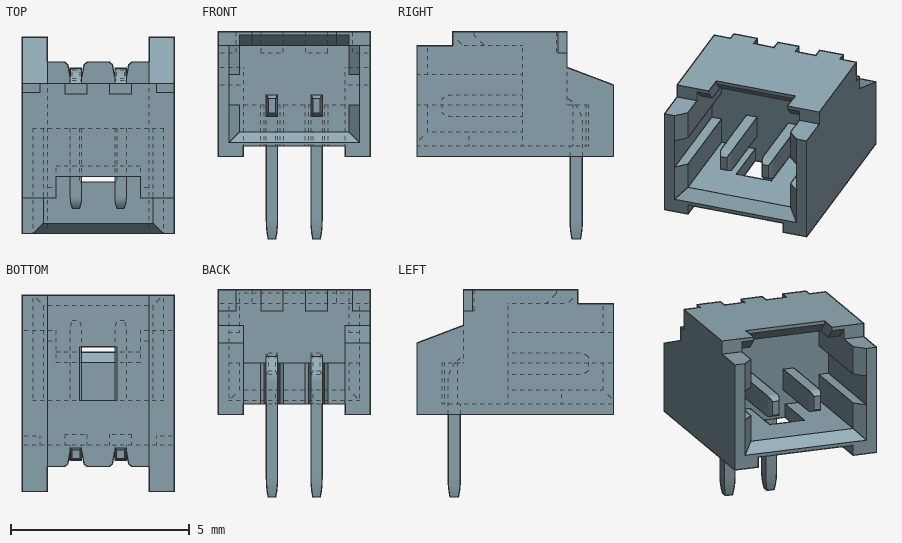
import cadquery as cq
import math


WIDTH = 4.25
DEPTH = 5.5
HEIGHT = 3.5
TOTAL_HEIGHT = 5.8
REAR_WALL_Y = 4.2

CHANNEL_HALF_WIDTH = 1.42
CHANNEL_HEIGHT = 0.295
WING_REAR_HEIGHT = 2.005
WING_FRONT_HEIGHT = 2.5

CAVITY_HALF_WIDTH = 1.53
CAVITY_FLOOR = 0.69
CAVITY_CEILING = 3.11
CAVITY_DEPTH = 2.945
LEAD_IN = 0.29
FRONT_STEP_HEIGHT = CAVITY_CEILING
FRONT_STEP_DEPTH = 1.0
GROOVE_BOTTOM = 1.445
GROOVE_TOP = 2.295
ROOF_NOTCH_HALF_WIDTH = 1.18
ROOF_NOTCH_DEPTH = 1.595
FLOOR_SLOT_HALF_WIDTH = 0.52
FLOOR_SLOT_START = 1.45

NOTCH_FLOOR = 2.895
PIN_NOTCH_WIDTH = 0.61
PIN_NOTCH_DEPTH = 0.3
CORNER_NOTCH_INNER_X = 1.635
CORNER_NOTCH_DEPTH = 0.255

BLOCK_REAR_Y = 4.8
BLOCK_TOP = 1.445
FUNNEL_FRONT_Y = 4.36
FUNNEL_REAR_HALF_WIDTH = 0.24
FUNNEL_LIP_CHAMFER = 0.08

PIN_PITCH = 1.245
PIN_XS = (-PIN_PITCH / 2, PIN_PITCH / 2)
PIN_WIDTH = 0.32
PIN_TOP = 1.73
PIN_HEIGHT = 0.61
PIN_FRONT_Y = 0.71
PIN_REAR_Y = 4.63
LEG_THICKNESS = 0.35
LEG_FRONT_Y = PIN_REAR_Y - LEG_THICKNESS
LEG_BOTTOM = HEIGHT - TOTAL_HEIGHT
BEND_RADIUS = 0.81
CONTACT_TIP_LENGTH = 0.29
CONTACT_TIP_SIDE_INSET = 0.065
CONTACT_TIP_TOP_INSET = 0.105
LEG_TIP_LENGTH = 0.505
LEG_TIP_INSET = 0.05


def box(x0, x1, y0, y1, z0, z1):
    return cq.Workplane("XY").box(x1 - x0, y1 - y0, z1 - z0, centered=False).translate((x0, y0, z0))


def centred_box(half_width, y0, y1, z0, z1):
    return box(-half_width, half_width, y0, y1, z0, z1)


def housing_shell():
    side_profile = [
        (0, 0),
        (DEPTH, 0),
        (DEPTH, WING_REAR_HEIGHT),
        (REAR_WALL_Y, WING_FRONT_HEIGHT),
        (REAR_WALL_Y, HEIGHT),
        (FRONT_STEP_DEPTH, HEIGHT),
        (FRONT_STEP_DEPTH, FRONT_STEP_HEIGHT),
        (0, FRONT_STEP_HEIGHT),
    ]
    shell = cq.Workplane("YZ").polyline(side_profile).close().extrude(WIDTH / 2, both=True)
    base_channel = centred_box(CHANNEL_HALF_WIDTH, 0, DEPTH, 0, CHANNEL_HEIGHT)
    between_wings = centred_box(CHANNEL_HALF_WIDTH, REAR_WALL_Y, DEPTH, 0, HEIGHT)
    return shell.cut(base_channel).cut(between_wings)


def roof_lead_in(half_width, front_y):
    """45 degree bevel on the underside of a front edge of the roof."""
    profile = [
        (front_y, CAVITY_CEILING),
        (front_y, CAVITY_CEILING + LEAD_IN),
        (front_y + LEAD_IN, CAVITY_CEILING),
    ]
    return cq.Workplane("YZ").polyline(profile).close().extrude(half_width, both=True)


def mouth_lead_in():
    """Wedge that flares the two side walls and the floor towards the open front."""
    cavity_height = CAVITY_CEILING - CAVITY_FLOOR
    centre_z = CAVITY_FLOOR + cavity_height / 2
    return (
        cq.Workplane("XZ")
        .center(0, centre_z - LEAD_IN / 2)
        .rect(2 * (CAVITY_HALF_WIDTH + LEAD_IN), cavity_height + LEAD_IN)
        .workplane(offset=-LEAD_IN)
        .center(0, LEAD_IN / 2)
        .rect(2 * CAVITY_HALF_WIDTH, cavity_height)
        .loft(ruled=True)
    )


def mating_cavity():
    cavity = centred_box(CAVITY_HALF_WIDTH, 0, CAVITY_DEPTH, CAVITY_FLOOR, CAVITY_CEILING)
    grooves = centred_box(CAVITY_HALF_WIDTH + LEAD_IN, 0, CAVITY_DEPTH, GROOVE_BOTTOM, GROOVE_TOP)
    roof_notch = centred_box(ROOF_NOTCH_HALF_WIDTH, 0, ROOF_NOTCH_DEPTH, CAVITY_FLOOR, HEIGHT)
    floor_slot = centred_box(FLOOR_SLOT_HALF_WIDTH, FLOOR_SLOT_START, CAVITY_DEPTH, 0, CAVITY_FLOOR)
    cavity = cavity.union(mouth_lead_in()).union(grooves).union(roof_notch).union(floor_slot)
    cavity = cavity.union(roof_lead_in(CAVITY_HALF_WIDTH, FRONT_STEP_DEPTH))
    return cavity.union(roof_lead_in(ROOF_NOTCH_HALF_WIDTH, ROOF_NOTCH_DEPTH))


def rear_notches():
    half_notch = PIN_NOTCH_WIDTH / 2
    notch_y = REAR_WALL_Y - PIN_NOTCH_DEPTH
    corner_y = REAR_WALL_Y - CORNER_NOTCH_DEPTH
    notches = box(CORNER_NOTCH_INNER_X, WIDTH / 2, corner_y, REAR_WALL_Y, NOTCH_FLOOR, HEIGHT)
    notches = notches.union(notches.mirror("YZ"))
    for x in PIN_XS:
        notch = box(x - half_notch, x + half_notch, notch_y, REAR_WALL_Y, NOTCH_FLOOR, HEIGHT)
        notches = notches.union(notch)
    return notches


def rear_block():
    block = centred_box(CHANNEL_HALF_WIDTH, REAR_WALL_Y, BLOCK_REAR_Y, CHANNEL_HEIGHT, BLOCK_TOP)
    for x in PIN_XS:
        funnel = [
            (x - PIN_WIDTH / 2, FUNNEL_FRONT_Y),
            (x - FUNNEL_REAR_HALF_WIDTH, BLOCK_REAR_Y),
            (x + FUNNEL_REAR_HALF_WIDTH, BLOCK_REAR_Y),
            (x + PIN_WIDTH / 2, FUNNEL_FRONT_Y),
        ]
        block = block.cut(cq.Workplane("XY").polyline(funnel).close().extrude(HEIGHT))
    lips = cq.selectors.BoxSelector(
        (-PIN_PITCH, BLOCK_REAR_Y - FUNNEL_LIP_CHAMFER, 0),
        (PIN_PITCH, BLOCK_REAR_Y + FUNNEL_LIP_CHAMFER, HEIGHT),
    )
    return block.edges("|Z").edges(lips).chamfer(FUNNEL_LIP_CHAMFER)


def arc_middle(start, length, inset):
    """Middle of an arc that leaves `start` straight and ends `length` further on and `inset` sideways.

    Points are (along, sideways); a negative length or inset runs towards smaller values."""
    radius = (length**2 + inset**2) / (2 * inset)
    half_angle = math.asin(length / radius) / 2
    return (
        start[0] + math.copysign(radius * math.sin(half_angle), length),
        start[1] + math.copysign(radius * (1 - math.cos(half_angle)), inset),
    )


def tapered_outline(plane, base, tip, tip_length, inset):
    """Prism of pin width running from `base` down to `tip`, its end narrowed by an arc on each side."""
    half = PIN_WIDTH / 2
    along, across = arc_middle((tip + tip_length, half), -tip_length, -inset)
    return (
        cq.Workplane(plane)
        .moveTo(-half, base)
        .lineTo(half, base)
        .lineTo(half, tip + tip_length)
        .threePointArc((across, along), (half - inset, tip))
        .lineTo(-half + inset, tip)
        .threePointArc((-across, along), (-half, tip + tip_length))
        .close()
        .extrude(TOTAL_HEIGHT, both=True)
    )


def pin():
    pin_bottom = PIN_TOP - PIN_HEIGHT
    tip_y = PIN_FRONT_Y + CONTACT_TIP_LENGTH
    tip_z = LEG_BOTTOM + LEG_TIP_LENGTH
    top_mid = arc_middle((tip_y, PIN_TOP), -CONTACT_TIP_LENGTH, -CONTACT_TIP_TOP_INSET)
    bottom_mid = arc_middle((tip_y, pin_bottom), -CONTACT_TIP_LENGTH, CONTACT_TIP_TOP_INSET)
    front_mid = arc_middle((tip_z, LEG_FRONT_Y), -LEG_TIP_LENGTH, LEG_TIP_INSET)
    rear_mid = arc_middle((tip_z, PIN_REAR_Y), -LEG_TIP_LENGTH, -LEG_TIP_INSET)
    bend_y = PIN_REAR_Y - BEND_RADIUS
    bend_z = PIN_TOP - BEND_RADIUS
    bend_offset = BEND_RADIUS * math.sqrt(0.5)
    side = (
        cq.Workplane("YZ")
        .moveTo(PIN_FRONT_Y, pin_bottom + CONTACT_TIP_TOP_INSET)
        .lineTo(PIN_FRONT_Y, PIN_TOP - CONTACT_TIP_TOP_INSET)
        .threePointArc(top_mid, (tip_y, PIN_TOP))
        .lineTo(bend_y, PIN_TOP)
        .threePointArc((bend_y + bend_offset, bend_z + bend_offset), (PIN_REAR_Y, bend_z))
        .lineTo(PIN_REAR_Y, tip_z)
        .threePointArc(rear_mid[::-1], (PIN_REAR_Y - LEG_TIP_INSET, LEG_BOTTOM))
        .lineTo(LEG_FRONT_Y + LEG_TIP_INSET, LEG_BOTTOM)
        .threePointArc(front_mid[::-1], (LEG_FRONT_Y, tip_z))
        .lineTo(LEG_FRONT_Y, pin_bottom)
        .lineTo(tip_y, pin_bottom)
        .threePointArc(bottom_mid, (PIN_FRONT_Y, pin_bottom + CONTACT_TIP_TOP_INSET))
        .close()
        .extrude(PIN_WIDTH / 2, both=True)
    )
    plan_outline = tapered_outline("XY", PIN_REAR_Y, PIN_FRONT_Y, CONTACT_TIP_LENGTH, CONTACT_TIP_SIDE_INSET)
    front_outline = tapered_outline("XZ", PIN_TOP, LEG_BOTTOM, LEG_TIP_LENGTH, LEG_TIP_INSET)
    return side.intersect(plan_outline).intersect(front_outline)


result = housing_shell().cut(mating_cavity()).cut(rear_notches()).union(rear_block())
for pin_x in PIN_XS:
    result = result.union(pin().translate((pin_x, 0, 0)))